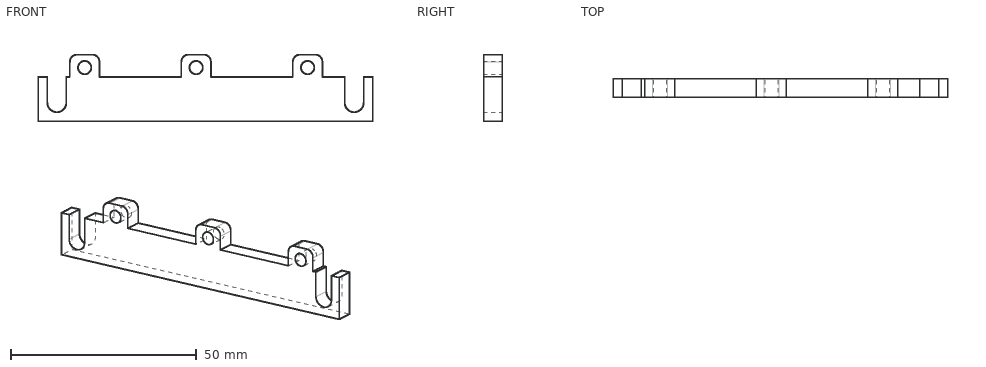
import cadquery as cq

length = 90
thickness = 5.0
total_height = 18
plate_height = total_height * 2 / 3

slot_width = 5.0
slot_end_distance = 5.0
slot_floor = 2.5

tab_width = 8.0
tab_corner_radius = 2.0
tab_pitch = 30.0
first_tab_x = 12.5
tab_count = 3
hole_diameter = 3.5
hole_height = 14.5

tab_centres = [first_tab_x + i * tab_pitch for i in range(tab_count)]
slot_centres = [slot_end_distance, length - slot_end_distance]


def block(x_centre, width, z_bottom, z_top):
    """Full-thickness block spanning the given heights."""
    return (
        cq.Workplane("XY")
        .box(width, thickness, z_top - z_bottom, centered=(True, False, False))
        .translate((x_centre, 0, z_bottom))
    )


def cylinder(x_centre, z_centre, diameter):
    """Full-thickness cylinder along Y."""
    return (
        cq.Workplane("XZ")
        .center(x_centre, z_centre)
        .circle(diameter / 2)
        .extrude(-thickness)
    )


def tab(x_centre):
    """Tab with rounded upper corners, rooted at the bottom of the plate."""
    return (
        block(x_centre, tab_width, 0, total_height)
        .edges("|Y and >Z")
        .fillet(tab_corner_radius)
    )


def slot(x_centre):
    """Cutter for a round-bottomed slot open at the top of the plate."""
    arc_height = slot_floor + slot_width / 2
    straight_part = block(x_centre, slot_width, arc_height, plate_height)
    return straight_part.union(cylinder(x_centre, arc_height, slot_width))


result = block(length / 2, length, 0, plate_height)

for x in tab_centres:
    result = result.union(tab(x))
    result = result.cut(cylinder(x, hole_height, hole_diameter))

for x in slot_centres:
    result = result.cut(slot(x))